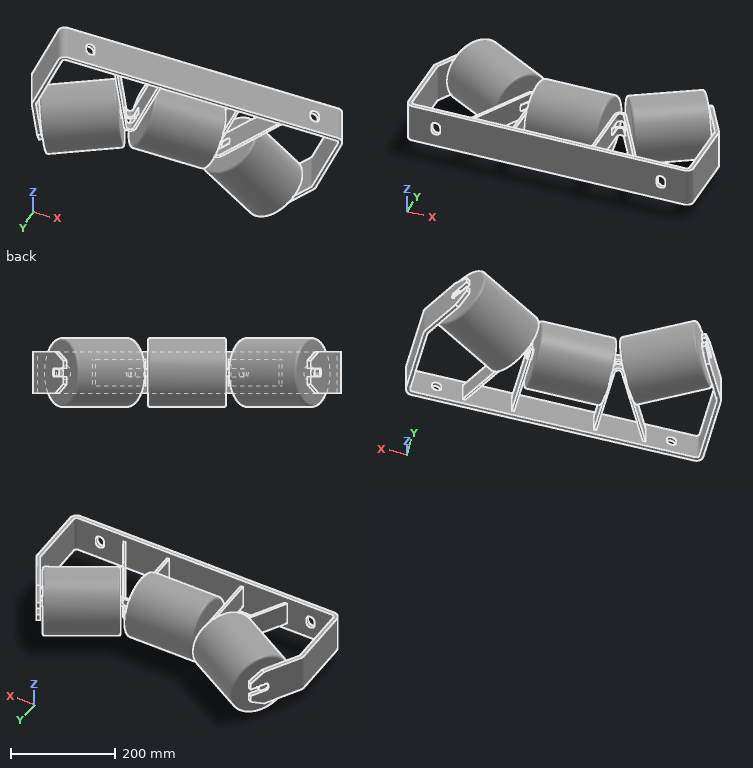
import cadquery as cq
import math

roller_diameter = 133
roller_length = 150
roller_edge_radius = 5
shaft_diameter = 20
shaft_flat_width = 14

trough_angle = 30
centre_roller_y = 125
side_roller_x = 176.9
side_roller_y = 174.26
support_distance = 79

frame_width = 590
strip_height = 80
frame_thickness = 8
frame_bend_radius = 14
flap_reach = 30
flap_chamfer_length = 30
flap_chamfer_angle = 30
mount_slot_spacing = 466
mount_slot_width = 18
mount_slot_length = 27

bracket_height = 50
bracket_thickness = 5
bracket_bend_radius = 12

shaft_slot_width = 16

shaft_length = 2 * (support_distance + bracket_thickness)

sin_trough = math.sin(math.radians(trough_angle))
cos_trough = math.cos(math.radians(trough_angle))


def place_on_right_axis(shape):
    """Move a shape from the X axis at the origin to the axis of the right side roller."""
    return shape.rotate((0, 0, 0), (0, 0, 1), trough_angle).translate((side_roller_x, side_roller_y, 0))


def place_on_centre_axis(shape):
    """Move a shape from the X axis at the origin to the axis of the centre roller."""
    return shape.translate((0, centre_roller_y, 0))


def mirror_to_left(shape):
    return shape.mirror("YZ")


def make_roller():
    """Roller drum with a flattened shaft, centred on the origin along X."""
    drum = (
        cq.Workplane("YZ")
        .circle(roller_diameter / 2)
        .extrude(roller_length)
        .translate((-roller_length / 2, 0, 0))
        .edges("%CIRCLE")
        .fillet(roller_edge_radius)
    )
    shaft = (
        cq.Workplane("YZ")
        .circle(shaft_diameter / 2)
        .extrude(shaft_length)
        .translate((-shaft_length / 2, 0, 0))
    )
    flats = cq.Workplane("XY").box(shaft_length, shaft_diameter, shaft_flat_width)
    return drum.union(shaft.intersect(flats))


def make_shaft_slot(start, depth, reach):
    """Cutter along X from start, open toward +Y, with its closed end round the shaft."""
    round_end = cq.Workplane("YZ").circle(shaft_diameter / 2).extrude(depth)
    open_end = cq.Workplane("XY").box(depth, reach, shaft_diameter, centered=(False, False, True))
    sides = cq.Workplane("XY").box(depth, 2 * reach, shaft_slot_width, centered=(False, True, True))
    return round_end.union(open_end).intersect(sides).translate((start, 0, 0))


def make_strip(outline, height):
    """Bent strip of the given height, halved by the XY plane."""
    return outline.close().extrude(height).translate((0, 0, -height / 2))


def right_axis_point(along, across):
    """Point measured from the right roller's centre, along its axis and square to it."""
    return (
        side_roller_x + along * cos_trough - across * sin_trough,
        side_roller_y + along * sin_trough + across * cos_trough,
    )


def square_line_at_x(along, x):
    """Point of the given X on the line square to the right roller axis at the given distance."""
    start_x, start_y = right_axis_point(along, 0)
    return (x, start_y + (start_x - x) / math.tan(math.radians(trough_angle)))


def make_frame():
    half_width = frame_width / 2
    inner_half_width = half_width - frame_thickness
    flap_outer = support_distance + frame_thickness
    outer_bend = square_line_at_x(flap_outer, half_width)
    inner_bend = square_line_at_x(support_distance, inner_half_width)
    right_side = [
        (half_width, 0),
        outer_bend,
        right_axis_point(flap_outer, flap_reach),
        right_axis_point(support_distance, flap_reach),
        inner_bend,
        (inner_half_width, frame_thickness),
    ]
    left_side = [(-x, y) for x, y in reversed(right_side)]
    frame = make_strip(cq.Workplane("XY").polyline(right_side + left_side), strip_height)

    outer_corners = [(half_width, 0), outer_bend]
    inner_corners = [(inner_half_width, frame_thickness), inner_bend]
    for corners, radius in (
        (outer_corners, frame_bend_radius),
        (inner_corners, frame_bend_radius - frame_thickness),
    ):
        for x, y in corners:
            for side in (-1, 1):
                corner = cq.selectors.NearestToPointSelector((side * x, y, 0))
                frame = frame.edges("|Z").edges(corner).fillet(radius)

    mount_slots = (
        cq.Workplane("XZ")
        .pushPoints([(-mount_slot_spacing / 2, 0), (mount_slot_spacing / 2, 0)])
        .slot2D(mount_slot_length, mount_slot_width, 90)
        .extrude(-frame_thickness)
    )
    frame = frame.cut(mount_slots)

    chamfer_drop = flap_chamfer_length * math.tan(math.radians(flap_chamfer_angle))
    half_height = strip_height / 2
    tip_corner = (
        cq.Workplane("YZ")
        .polyline(
            [
                (flap_reach, half_height),
                (flap_reach - flap_chamfer_length, half_height),
                (flap_reach, half_height - chamfer_drop),
            ]
        )
        .close()
        .extrude(frame_thickness)
        .translate((support_distance, 0, 0))
    )
    flap_slot = make_shaft_slot(support_distance, frame_thickness, flap_reach)
    flap_cuts = place_on_right_axis(flap_slot.union(tip_corner).union(tip_corner.mirror("XY")))
    return frame.cut(flap_cuts).cut(mirror_to_left(flap_cuts))


def make_right_bracket():
    """Bracket between the centre roller and the right roller, standing on the frame's back."""
    outer_x = support_distance
    inner_x = outer_x + bracket_thickness
    foot_y = frame_thickness
    bend_inner_radius = bracket_bend_radius - bracket_thickness

    bend_x = outer_x + bracket_bend_radius
    bend_y = square_line_at_x(-support_distance - bracket_bend_radius, bend_x)[1]
    bend_rise = bend_y - centre_roller_y

    def on_bend(radius, angle):
        turn = math.radians(angle)
        return (bend_x + radius * math.cos(turn), bend_y + radius * math.sin(turn))

    def sloped_foot(along):
        start_x, start_y = right_axis_point(-along, 0)
        return (start_x + (start_y - foot_y) * math.tan(math.radians(trough_angle)), foot_y)

    middle_angle = (180 + trough_angle) / 2
    bracket = make_strip(
        cq.Workplane("XY")
        .moveTo(outer_x, foot_y)
        .lineTo(outer_x, bend_y)
        .threePointArc(on_bend(bracket_bend_radius, middle_angle), on_bend(bracket_bend_radius, trough_angle))
        .lineTo(*sloped_foot(support_distance))
        .lineTo(*sloped_foot(support_distance + bracket_thickness))
        .lineTo(*on_bend(bend_inner_radius, trough_angle))
        .threePointArc(on_bend(bend_inner_radius, middle_angle), on_bend(bend_inner_radius, 180))
        .lineTo(inner_x, foot_y),
        bracket_height,
    )

    slot_reach = bend_rise + bracket_bend_radius
    straight_slot = make_shaft_slot(outer_x, bracket_bend_radius, slot_reach)
    sloped_slot = mirror_to_left(straight_slot)
    return bracket.cut(place_on_centre_axis(straight_slot)).cut(place_on_right_axis(sloped_slot))


frame = make_frame()

right_bracket = make_right_bracket()
brackets = [right_bracket, mirror_to_left(right_bracket)]

right_roller = place_on_right_axis(make_roller())
rollers = [mirror_to_left(right_roller), place_on_centre_axis(make_roller()), right_roller]

result = cq.Compound.makeCompound([body.val() for body in [frame, *brackets, *rollers]])